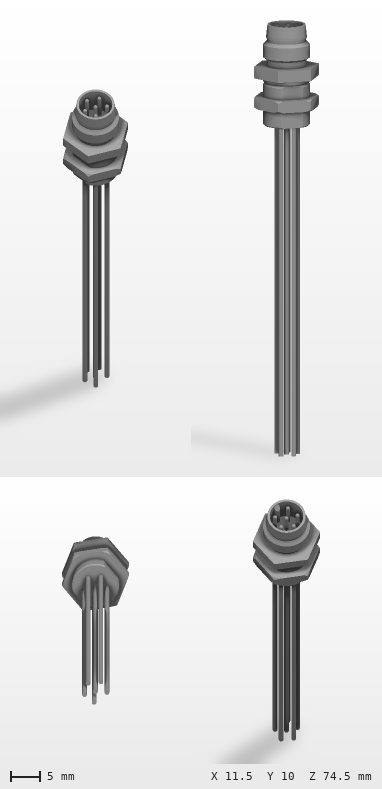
import cadquery as cq
import math

RIM_LAND_Z = -0.45
SNAP_TOP_Z = -1.85
SNAP_BOTTOM_Z = -2.3
COLLAR_CONE_Z = -2.9
COLLAR_TOP_Z = -3.45
COLLAR_BOTTOM_Z = -5.65
UNDERCUT_TOP_Z = -6.05
FLANGE_TOP_Z = -7.1
BARREL_TOP_Z = -10.1
NUT_TOP_Z = -12.4
BODY_END_Z = -17.4
WIRE_END_Z = -74.5

RIM_DIAMETER = 6.5
RIM_LAND_DIAMETER = 6.6
SNAP_DIAMETER = 6.9
NECK_DIAMETER = 6.6
COLLAR_SHOULDER_DIAMETER = 6.8
COLLAR_DIAMETER = 8.0
UNDERCUT_DIAMETER = 6.8

HEX_THICKNESS = 2.0
HEX_ACROSS_FLATS = 10.0
HEX_ACROSS_CORNERS = 11.5
NUT_CHAMFER_DIAMETER = 10.7
NUT_CHAMFER_HEIGHT = 0.3
FLANGE_BOTTOM_Z = FLANGE_TOP_Z - HEX_THICKNESS

SEAL_DIAMETER = 8.0
SEAL_SECTION_RADIUS = (FLANGE_BOTTOM_Z - BARREL_TOP_Z) / 2

BARREL_DIAMETER = 8.0
BARREL_ACROSS_FLATS = 7.0
BARREL_TOP_CHAMFER = 0.3
BARREL_BOTTOM_CHAMFER = 0.2

BORE_DIAMETER = 5.7
BORE_DEPTH = 5.0
KEY_DIAMETER = 1.0
KEY_OFFSET = 2.55
KEY_RAMP_TOP_Z = -0.25
KEY_RAMP_ANGLE = 45.0

PIN_DIAMETER = 0.7
PIN_TOP_Z = -0.4
WIRE_DIAMETER = 0.8
CONTACT_CIRCLE_RADIUS = 1.95
CONTACT_PITCH_ANGLE = 67.0
CONTACTS_ON_CIRCLE = 5
CONTACT_EMBEDDING = 0.5


def contact_points():
    """One contact in the middle and the rest on a circle, centred opposite the key."""
    points = [(0, 0)]
    for index in range(CONTACTS_ON_CIRCLE):
        steps = index - (CONTACTS_ON_CIRCLE - 1) / 2
        angle = math.radians(180 + steps * CONTACT_PITCH_ANGLE)
        x = CONTACT_CIRCLE_RADIUS * math.cos(angle)
        y = CONTACT_CIRCLE_RADIUS * math.sin(angle)
        points.append((x, y))
    return points


def cylinders(points, diameter, bottom_z, top_z):
    """Upright cylinders of one size at the given (x, y) points."""
    base = cq.Workplane("XY", origin=(0, 0, bottom_z))
    return base.pushPoints(points).circle(diameter / 2).extrude(top_z - bottom_z)


def revolved(stations):
    """Solid of revolution about Z through (diameter, z) stations, closed along the axis."""
    outline = [(diameter / 2, z) for diameter, z in stations]
    axis_start = (0, stations[0][1])
    axis_end = (0, stations[-1][1])
    profile = cq.Workplane("XZ").polyline([axis_start] + outline + [axis_end]).close()
    return profile.revolve(360, (0, 0, 0), (0, 1, 0))


def head():
    """Mating end: snap ring, neck, collar and undercut above the flange."""
    return revolved([
        (RIM_DIAMETER, 0),
        (RIM_LAND_DIAMETER, RIM_LAND_Z),
        (SNAP_DIAMETER, SNAP_TOP_Z),
        (SNAP_DIAMETER, SNAP_BOTTOM_Z),
        (NECK_DIAMETER, SNAP_BOTTOM_Z),
        (NECK_DIAMETER, COLLAR_CONE_Z),
        (COLLAR_SHOULDER_DIAMETER, COLLAR_CONE_Z),
        (COLLAR_DIAMETER, COLLAR_TOP_Z),
        (COLLAR_DIAMETER, COLLAR_BOTTOM_Z),
        (UNDERCUT_DIAMETER, UNDERCUT_TOP_Z),
        (UNDERCUT_DIAMETER, FLANGE_TOP_Z),
    ])


def hexagon(top_z):
    """Hexagonal plate with corners on the X axis, turned down slightly at its corners."""
    bottom_z = top_z - HEX_THICKNESS
    sharp_corner_diameter = HEX_ACROSS_FLATS / math.cos(math.radians(30))
    base = cq.Workplane("XY", origin=(0, 0, bottom_z))
    prism = base.polygon(6, sharp_corner_diameter).extrude(HEX_THICKNESS)
    return prism.intersect(cylinders([(0, 0)], HEX_ACROSS_CORNERS, bottom_z, top_z))


def nut():
    """Hexagon with its corners chamfered on both faces."""
    bottom_z = NUT_TOP_Z - HEX_THICKNESS
    envelope = revolved([
        (NUT_CHAMFER_DIAMETER, NUT_TOP_Z),
        (HEX_ACROSS_CORNERS, NUT_TOP_Z - NUT_CHAMFER_HEIGHT),
        (HEX_ACROSS_CORNERS, bottom_z + NUT_CHAMFER_HEIGHT),
        (NUT_CHAMFER_DIAMETER, bottom_z),
    ])
    return hexagon(NUT_TOP_Z).intersect(envelope)


def seal():
    """Core under the flange carrying a sealing ring with a half-round outside."""
    outer_radius = SEAL_DIAMETER / 2
    ring_radius = outer_radius - SEAL_SECTION_RADIUS
    ring_z = FLANGE_BOTTOM_Z - SEAL_SECTION_RADIUS
    ring_bottom_z = ring_z - SEAL_SECTION_RADIUS
    profile = (
        cq.Workplane("XZ")
        .moveTo(0, FLANGE_BOTTOM_Z)
        .lineTo(ring_radius, FLANGE_BOTTOM_Z)
        .threePointArc((outer_radius, ring_z), (ring_radius, ring_bottom_z))
        .lineTo(0, ring_bottom_z)
        .close()
    )
    return profile.revolve(360, (0, 0, 0), (0, 1, 0))


def barrel():
    """Chamfered cylinder cut to two flats."""
    turned = cylinders([(0, 0)], BARREL_DIAMETER, BODY_END_Z, BARREL_TOP_Z)
    turned = turned.faces(">Z").chamfer(BARREL_TOP_CHAMFER)
    turned = turned.faces("<Z").chamfer(BARREL_BOTTOM_CHAMFER)
    base = cq.Workplane("XY", origin=(0, 0, BODY_END_Z))
    flats = base.rect(BARREL_DIAMETER, BARREL_ACROSS_FLATS).extrude(BARREL_TOP_Z - BODY_END_Z)
    return turned.intersect(flats)


def key():
    """Round rib on the bore wall whose top slopes down towards the axis."""
    post = cylinders([(KEY_OFFSET, 0)], KEY_DIAMETER, -BORE_DEPTH, 0)
    inner_x = KEY_OFFSET - KEY_DIAMETER / 2
    outer_x = BORE_DIAMETER / 2
    ramp_foot_z = KEY_RAMP_TOP_Z - (outer_x - inner_x) * math.tan(math.radians(KEY_RAMP_ANGLE))
    side = [
        (inner_x, -BORE_DEPTH),
        (inner_x, ramp_foot_z),
        (outer_x, KEY_RAMP_TOP_Z),
        (outer_x + KEY_DIAMETER / 2, KEY_RAMP_TOP_Z),
        (outer_x + KEY_DIAMETER / 2, -BORE_DEPTH),
    ]
    ramp = cq.Workplane("XZ").polyline(side).close().extrude(KEY_DIAMETER / 2, both=True)
    return post.intersect(ramp)


def pins():
    """Contact pins standing in the bore, each with a hemispherical tip."""
    tip_radius = PIN_DIAMETER / 2
    tip_z = PIN_TOP_Z - tip_radius
    points = contact_points()
    shanks = cylinders(points, PIN_DIAMETER, -BORE_DEPTH - CONTACT_EMBEDDING, tip_z)
    tips = cq.Workplane("XY", origin=(0, 0, tip_z)).pushPoints(points).sphere(tip_radius)
    return shanks.union(tips)


def wires():
    """One wire per contact, leaving the end of the body."""
    return cylinders(contact_points(), WIRE_DIAMETER, WIRE_END_Z, BODY_END_Z + CONTACT_EMBEDDING)


shell = head().union(hexagon(FLANGE_TOP_Z)).union(seal()).union(barrel()).union(nut())
shell = shell.cut(cylinders([(0, 0)], BORE_DIAMETER, -BORE_DEPTH, 0))
result = shell.union(key()).union(pins()).union(wires())